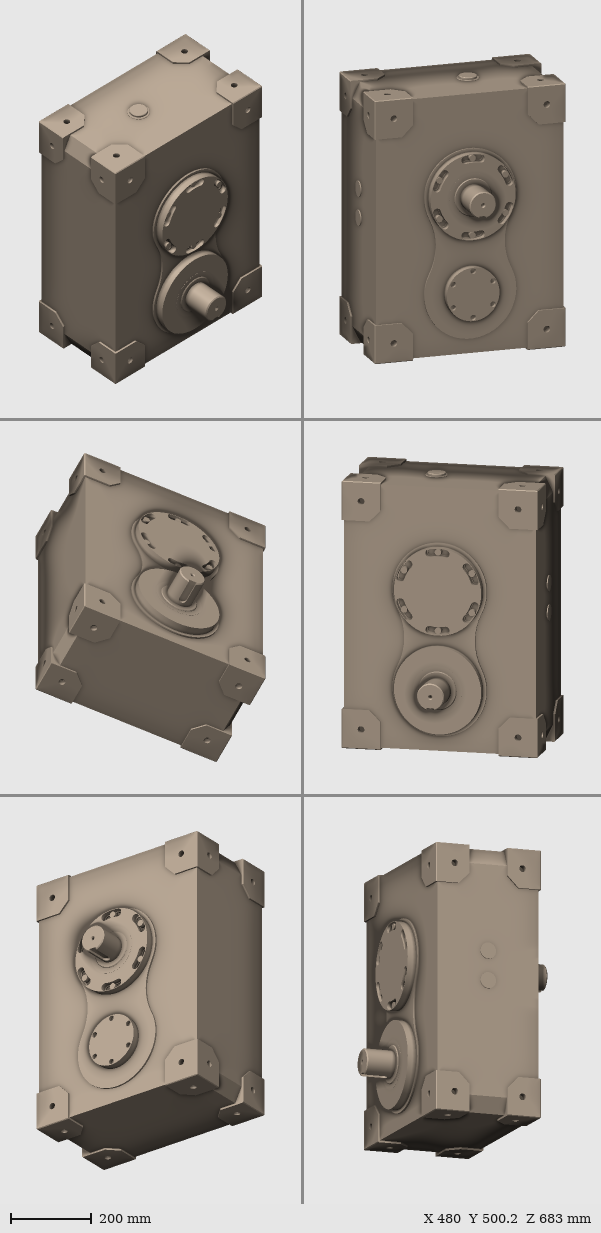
import cadquery as cq
import math

OVERALL_X = 480.0
OVERALL_Z = 683

BODY_X = 270.0
BODY_Y = 490.0
BODY_Z = 670.0
EDGE_BEVEL_Y = 20.0
EDGE_BEVEL_Z = 40.0

BRACKET_PROUD = 5.1
BRACKET_X = 89.5
BRACKET_YZ = 100.0
BRACKET_CUT = 29.0
BRACKET_EDGE_BREAK = 2.0
BRACKET_HOLE_D = 17.0
BRACKET_HOLE_INSET = 50.0
BRACKET_HOLE_DEPTH = 20.0
FOOT_X = BODY_X / 2 + BRACKET_PROUD
FOOT_Y = BODY_Y / 2 + BRACKET_PROUD
FOOT_Z = BODY_Z / 2 + BRACKET_PROUD

AXIS_SPACING = 251.5
UPPER_Z = 75.0
LOWER_Z = UPPER_Z - AXIS_SPACING

PAD_R = 120.0
PAD_WAIST = 180.0
PAD_FACE_X = FOOT_X

FLANGE_R = 111.0
FLANGE_THICK = 22.0
FLANGE_FACE_X = PAD_FACE_X + FLANGE_THICK
REGISTER_R = 63.0
REGISTER_STEP = 0.35
COVER_R = 69.0
COVER_HOLE_COUNT = 6
COVER_HOLE_D = 14.5
COVER_HOLE_CIRCLE_R = 60.0
COVER_HOLE_DEPTH = 10.0

SLOT_COUNT = 6
SLOT_CIRCLE_R = 100.0
SLOT_HALF_ANGLE = 11.8
SLOT_WIDTH = 20.5
SLOT_DEPTH = 14.5
SLOT_STEP_WIDTH = 15.0
SLOT_STEP_DEPTH = 3.5
BOLT_HEAD_D = 16.5
BOLT_HEAD_RECESS = 4.0

SHAFT_R = 35.0
SHAFT_END_X = OVERALL_X / 2
SHAFT_CHAMFER = 3.0
COLLAR_R = 49.0
COLLAR_PROUD = 3.0
COLLAR_CHAMFER = 2.0
KEY_WIDTH = 20.0
KEY_DEPTH = 7.5
KEY_LENGTH = 65.5
CENTRE_HOLE_D = 7.0
CENTRE_SINK_D = 12.0
CENTRE_HOLE_DEPTH = 30.0

FILLER_Y = -40.0
FILLER_SEAT_R = 29.0
FILLER_SEAT_HEIGHT = 2.0
FILLER_CAP_R = 23.0
FILLER_TOP_Z = OVERALL_Z - FOOT_Z
FILLER_CHAMFER = 1.5
GAUGE_R = 20.5
GAUGE_PROUD = 3.0
GAUGE_HEIGHTS = (UPPER_Z, 0)


def disc_along_x(side, z, radius, x_start, x_end):
    """Cylinder along X between two distances from the middle, on side -1 or +1."""
    plane = cq.Workplane("YZ", origin=(side * x_start, 0, z))
    return plane.circle(radius).extrude(side * (x_end - x_start))


def polar_points(count, radius):
    """Points evenly spaced round a circle, the first straight up."""
    angles = [math.pi / 2 + 2 * math.pi * i / count for i in range(count)]
    return [(radius * math.cos(a), radius * math.sin(a)) for a in angles]


def make_body():
    """Rectangular housing whose edges along X are bevelled between the brackets."""
    half_y = BODY_Y / 2
    half_z = BODY_Z / 2
    bevel_corner = [(half_y, half_z), (half_y - EDGE_BEVEL_Y, half_z), (half_y, half_z - EDGE_BEVEL_Z)]
    bevel = cq.Workplane("YZ").polyline(bevel_corner).close().extrude(FOOT_X - BRACKET_X, both=True)
    top_bevels = bevel.union(bevel.mirror("XZ"))
    body = cq.Workplane("XY").box(BODY_X, BODY_Y, BODY_Z)
    return body.cut(top_bevels).cut(top_bevels.mirror("XY"))


def make_bracket():
    """Bracket for the corner at +X, +Y, +Z: a block whose faces each lose their inner corner."""
    block = cq.Workplane("XY").box(BRACKET_X, BRACKET_YZ, BRACKET_YZ, centered=False)
    block = block.edges(">X and >Y or >X and >Z or >Y and >Z").chamfer(BRACKET_EDGE_BREAK)
    inner_corner = [(0, 0), (BRACKET_CUT, 0), (0, BRACKET_CUT)]
    for plane in ("XY", "XZ", "YZ"):
        wedge = cq.Workplane(plane).polyline(inner_corner).close().extrude(BRACKET_YZ, both=True)
        block = block.cut(wedge)
    return block.translate((FOOT_X - BRACKET_X, FOOT_Y - BRACKET_YZ, FOOT_Z - BRACKET_YZ))


def add_brackets(solid):
    bracket_x = make_bracket()
    bracket_xy = bracket_x.union(bracket_x.mirror("YZ"))
    bracket_xyz = bracket_xy.union(bracket_xy.mirror("XZ"))
    return solid.union(bracket_xyz).union(bracket_xyz.mirror("XY"))


def cut_bracket_holes(solid):
    x = FOOT_X - BRACKET_HOLE_INSET
    y = FOOT_Y - BRACKET_HOLE_INSET
    z = FOOT_Z - BRACKET_HOLE_INSET
    for plane, face, u, v in (("XY", FOOT_Z, x, y), ("ZX", FOOT_Y, z, x), ("YZ", FOOT_X, y, z)):
        for side in (-1, 1):
            drill = (
                cq.Workplane(plane)
                .workplane(offset=side * face)
                .rect(2 * u, 2 * v, forConstruction=True)
                .vertices()
                .circle(BRACKET_HOLE_D / 2)
                .extrude(-side * BRACKET_HOLE_DEPTH)
            )
            solid = solid.cut(drill)
    return solid


def make_pads():
    """Two round ends joined by a waist whose concave sides are tangent to both ends."""
    half_spacing = AXIS_SPACING / 2
    half_waist = PAD_WAIST / 2
    waist_r = (half_waist**2 + half_spacing**2 - PAD_R**2) / (2 * (PAD_R - half_waist))
    share = PAD_R / (PAD_R + waist_r)
    touch_y = share * (half_waist + waist_r)
    touch_z = half_spacing * (1 - share)
    end_z = half_spacing + PAD_R
    pad = (
        cq.Workplane("YZ", origin=(0, 0, (UPPER_Z + LOWER_Z) / 2))
        .moveTo(touch_y, touch_z)
        .threePointArc((0, end_z), (-touch_y, touch_z))
        .threePointArc((-half_waist, 0), (-touch_y, -touch_z))
        .threePointArc((0, -end_z), (touch_y, -touch_z))
        .threePointArc((half_waist, 0), (touch_y, touch_z))
        .close()
    )
    return pad.extrude(PAD_FACE_X, both=True)


def arc_slot(side, x, width, depth):
    """Cutter for a round-ended slot at the top of the upper flange, running inward from x."""
    half_angle = math.radians(SLOT_HALF_ANGLE)
    inner_r = SLOT_CIRCLE_R - width / 2
    outer_r = SLOT_CIRCLE_R + width / 2

    def at(radius, angle):
        return (radius * math.sin(angle), radius * math.cos(angle))

    def end_tip(direction):
        end_y, end_z = at(SLOT_CIRCLE_R, direction * half_angle)
        reach = direction * width / 2
        return (end_y + reach * math.cos(half_angle), end_z - width / 2 * math.sin(half_angle))

    outline = (
        cq.Workplane("YZ", origin=(side * x, 0, UPPER_Z))
        .moveTo(*at(outer_r, -half_angle))
        .threePointArc(at(outer_r, 0), at(outer_r, half_angle))
        .threePointArc(end_tip(1), at(inner_r, half_angle))
        .threePointArc(at(inner_r, 0), at(inner_r, -half_angle))
        .threePointArc(end_tip(-1), at(outer_r, -half_angle))
        .close()
    )
    return outline.extrude(-side * depth)


def make_slotted_flange(side):
    flange = disc_along_x(side, UPPER_Z, FLANGE_R, BODY_X / 2, FLANGE_FACE_X)
    floor_x = FLANGE_FACE_X - SLOT_DEPTH
    slot = arc_slot(side, FLANGE_FACE_X, SLOT_WIDTH, SLOT_DEPTH)
    step = arc_slot(side, floor_x, SLOT_STEP_WIDTH, SLOT_STEP_DEPTH)
    head_top_x = FLANGE_FACE_X - BOLT_HEAD_RECESS
    head = disc_along_x(side, UPPER_Z + SLOT_CIRCLE_R, BOLT_HEAD_D / 2, BODY_X / 2, head_top_x)
    cutter = slot.union(step).cut(head)
    for i in range(SLOT_COUNT):
        turn = 360 / SLOT_COUNT * i
        flange = flange.cut(cutter.rotate((0, 0, UPPER_Z), (1, 0, UPPER_Z), turn))
    return flange


def make_cover():
    """Blank round cover over the lower axis on the -X side."""
    cover = disc_along_x(-1, LOWER_Z, COVER_R, BODY_X / 2, FLANGE_FACE_X)
    holes = (
        cq.Workplane("YZ", origin=(-FLANGE_FACE_X, 0, LOWER_Z))
        .pushPoints(polar_points(COVER_HOLE_COUNT, COVER_HOLE_CIRCLE_R))
        .circle(COVER_HOLE_D / 2)
        .extrude(COVER_HOLE_DEPTH)
    )
    return cover.cut(holes)


def make_shaft(side, z):
    """Keyed shaft end with its register, collar and centre hole."""
    outer_face = ">X" if side > 0 else "<X"
    shaft = disc_along_x(side, z, SHAFT_R, BODY_X / 2, SHAFT_END_X).faces(outer_face).chamfer(SHAFT_CHAMFER)

    key_bottom = z - SHAFT_R
    keyway = (
        cq.Workplane("XY", origin=(side * SHAFT_END_X, 0, key_bottom))
        .slot2D(2 * KEY_LENGTH, KEY_WIDTH)
        .extrude(KEY_DEPTH)
    )
    bore = disc_along_x(side, z, CENTRE_HOLE_D / 2, SHAFT_END_X - CENTRE_HOLE_DEPTH, SHAFT_END_X)
    shaft = shaft.cut(keyway).cut(bore)
    sink = (CENTRE_SINK_D - CENTRE_HOLE_D) / 2
    shaft = shaft.faces(outer_face).edges(cq.selectors.RadiusNthSelector(0)).chamfer(sink)

    register = disc_along_x(side, z, REGISTER_R, BODY_X / 2, FLANGE_FACE_X + REGISTER_STEP)
    collar = disc_along_x(side, z, COLLAR_R, BODY_X / 2, FLANGE_FACE_X + COLLAR_PROUD)
    collar = collar.faces(outer_face).chamfer(COLLAR_CHAMFER)
    return shaft.union(register).union(collar)


def make_filler_plug():
    """Round plug with a chamfered cap standing on a thin chamfered seat on the top face."""
    base = cq.Workplane("XY", origin=(0, FILLER_Y, BODY_Z / 2))
    seat = base.circle(FILLER_SEAT_R).extrude(FILLER_SEAT_HEIGHT).faces(">Z").chamfer(FILLER_CHAMFER)
    cap = base.circle(FILLER_CAP_R).extrude(FILLER_TOP_Z - BODY_Z / 2).faces(">Z").chamfer(FILLER_CHAMFER)
    return seat.union(cap)


def make_gauge(z):
    """Round oil gauge on the +Y face."""
    plane = cq.Workplane("XZ", origin=(0, BODY_Y / 2, z))
    return plane.circle(GAUGE_R).extrude(-GAUGE_PROUD)


housing = cut_bracket_holes(add_brackets(make_body()))
result = housing.union(make_pads())
for flange_side in (-1, 1):
    result = result.union(make_slotted_flange(flange_side))
result = result.union(disc_along_x(1, LOWER_Z, FLANGE_R, BODY_X / 2, FLANGE_FACE_X))
result = result.union(make_cover())
result = result.union(make_shaft(-1, UPPER_Z)).union(make_shaft(1, LOWER_Z))
result = result.union(make_filler_plug())
for gauge_z in GAUGE_HEIGHTS:
    result = result.union(make_gauge(gauge_z))